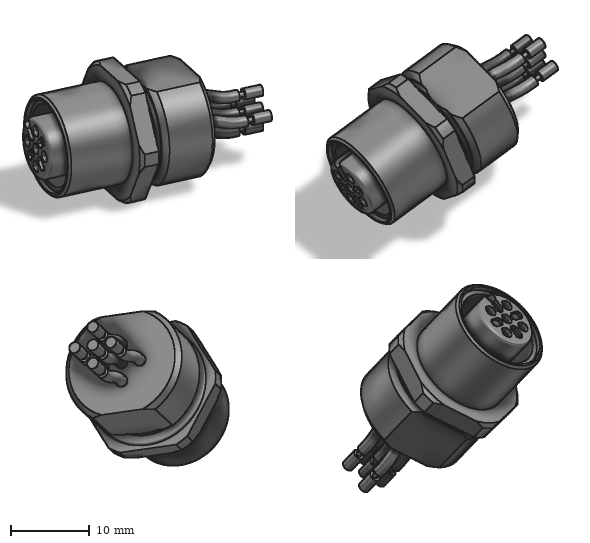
import cadquery as cq
import math


core_front = -13.0
barrel_front = -11.55
flange_front = -2.5
nut_front = 0.95
nut_rear = 9.0
overall_length = 32.15
wire_end = core_front + overall_length

barrel_diameter = 13.5
barrel_chamfer = 0.32
mouth_diameter = 12.3
mouth_depth = 0.68
socket_diameter = 11.0
socket_floor = flange_front
core_diameter = 8.25
core_fillet = 0.48

contact_pitch = 2.5
contact_hole_diameter = 1.5
contact_hole_depth = 2.57
contact_bore_diameter = 1.15
contact_bore_depth = 5.15
key_width = 1.5
key_angle = 135
key_bottom_radius = contact_pitch * math.sqrt(2)
pocket_angles = [45, 135, 225, 315]
pocket_width = 1.15
pocket_chamfer = 0.32
pocket_depth = 0.48
pocket_inner_radius = 1.15
pocket_outer_radius = 3.1

flange_across_flats = 17.0
flange_corner_diameter = 18.68
flange_chamfer = 0.48
collar_diameter = 16.0
collar_height = 0.3
collar_edge_radius = 0.25

nut_diameter = 15.98
nut_across_flats = 13.47
nut_chamfer = 0.68
nut_front_chamfer_length = 0.77
relief_diameter = 14.05
relief_length = 0.45

wire_diameter = 1.5
strand_diameter = 0.7
wire_root_length = 0.58
wire_bend_length = 5.53
wire_bend_drop = 1.2
wire_tail_length = 0.68
strand_length = 0.87

barrel_radius = barrel_diameter / 2
core_radius = core_diameter / 2
nut_radius = nut_diameter / 2


def cylinder(diameter, y_start, y_end, x=0.0, z=0.0):
    """Cylinder parallel to Y, from y_start to a larger y_end."""
    return cq.Workplane("XZ", origin=(x, y_start, z)).circle(diameter / 2).extrude(y_start - y_end)


def revolve_about_y(profile):
    """Turn a closed profile of (radius, y) around the Y axis."""
    return profile.close().revolve(360, (0, 0, 0), (0, 1, 0))


def make_body():
    """Barrel and core, joined by a socket floor shaped as a half-round sealing ring."""
    socket_radius = socket_diameter / 2
    ring_radius = (socket_radius - core_radius) / 2
    fillet_offset = core_fillet * math.sqrt(0.5)
    fillet_center = (core_radius - core_fillet, core_front + core_fillet)
    profile = (
        cq.Workplane("XY")
        .moveTo(0, core_front)
        .lineTo(core_radius - core_fillet, core_front)
        .threePointArc(
            (fillet_center[0] + fillet_offset, fillet_center[1] - fillet_offset),
            (core_radius, core_front + core_fillet),
        )
        .lineTo(core_radius, socket_floor)
        .threePointArc(
            (core_radius + ring_radius, socket_floor - ring_radius),
            (socket_radius, socket_floor),
        )
        .lineTo(socket_radius, barrel_front + mouth_depth)
        .lineTo(mouth_diameter / 2, barrel_front + mouth_depth)
        .lineTo(mouth_diameter / 2, barrel_front)
        .lineTo(barrel_radius - barrel_chamfer, barrel_front)
        .lineTo(barrel_radius, barrel_front + barrel_chamfer)
        .lineTo(barrel_radius, nut_front)
        .lineTo(0, nut_front)
    )
    return revolve_about_y(profile)


def make_flange():
    """Hexagon with trimmed corners, a conical front edge and a low rounded rear collar."""
    hexagon = (
        cq.Workplane("XZ")
        .polygon(6, flange_across_flats / math.cos(math.radians(30)))
        .extrude(-flange_front)
    )
    corner_trim = cylinder(flange_corner_diameter, flange_front, 0).faces("<Y").chamfer(flange_chamfer)
    collar = (
        cylinder(collar_diameter, flange_front, collar_height)
        .faces(">Y")
        .fillet(collar_edge_radius)
    )
    return hexagon.intersect(corner_trim).union(collar)


def make_nut():
    """Round nut, chamfered at both ends, with a conical relief in front and two flats."""
    relief_end = nut_front + relief_length
    profile = (
        cq.Workplane("XY")
        .moveTo(0, nut_front)
        .lineTo(barrel_radius, nut_front)
        .lineTo(relief_diameter / 2, relief_end)
        .lineTo(nut_radius - nut_chamfer, relief_end)
        .lineTo(nut_radius, relief_end + nut_front_chamfer_length)
        .lineTo(nut_radius, nut_rear - nut_chamfer)
        .lineTo(nut_radius - nut_chamfer, nut_rear)
        .lineTo(0, nut_rear)
    )
    slab = cq.Workplane("XY").box(nut_diameter, 2 * nut_rear, nut_across_flats)
    return revolve_about_y(profile).intersect(slab)


def make_contact_hole(x, z):
    """Stepped hole for one contact socket."""
    entry = cylinder(contact_hole_diameter, core_front, core_front + contact_hole_depth, x, z)
    bore = cylinder(contact_bore_diameter, core_front, core_front + contact_bore_depth, x, z)
    return entry.union(bore)


def make_pocket(angle):
    """Shallow radial pocket with chamfered corners; the one beside the keyway runs into it."""
    outer_radius = key_bottom_radius if angle == key_angle else pocket_outer_radius
    length = outer_radius - pocket_inner_radius
    return (
        cq.Workplane("XZ", origin=(0, core_front, 0))
        .center((pocket_inner_radius + outer_radius) / 2, 0)
        .rect(length, pocket_width)
        .extrude(-pocket_depth)
        .edges("|Y")
        .chamfer(pocket_chamfer)
        .rotate((0, 0, 0), (0, 1, 0), -angle)
    )


def make_key_slot():
    """Round-bottomed keyway along the outside of the core, kept clear of the sealing ring."""
    slot_length = 2 * (core_radius - key_bottom_radius) + key_width
    slot = (
        cq.Workplane("XZ", origin=(0, core_front, 0))
        .center(key_bottom_radius + (slot_length - key_width) / 2, 0)
        .slot2D(slot_length, key_width)
        .extrude(core_front - socket_floor)
        .rotate((0, 0, 0), (0, 1, 0), -key_angle)
    )
    return slot.intersect(cylinder(core_diameter, core_front, socket_floor))


def make_wire(x, z):
    """Insulated wire with an S-bend, a bare strand and an insulated end piece."""
    bend_start = nut_rear + wire_root_length
    bend_end = bend_start + wire_bend_length
    tail_end = bend_end + wire_tail_length
    strand_end = tail_end + strand_length
    end_z = z - wire_bend_drop

    bend_path = cq.Workplane("YZ", origin=(x, 0, 0)).spline(
        [(bend_start, z), (bend_end, end_z)],
        tangents=[(1, 0), (1, 0)],
    )
    bend = (
        cq.Workplane("XZ", origin=(x, bend_start, z))
        .circle(wire_diameter / 2)
        .sweep(bend_path)
    )
    return (
        cylinder(wire_diameter, nut_rear, bend_start, x, z)
        .union(bend)
        .union(cylinder(wire_diameter, bend_end, tail_end, x, end_z))
        .union(cylinder(strand_diameter, tail_end, strand_end, x, end_z))
        .union(cylinder(wire_diameter, strand_end, wire_end, x, end_z))
    )


contact_places = [
    (0, 0),
    (contact_pitch, 0),
    (-contact_pitch, 0),
    (0, contact_pitch),
    (0, -contact_pitch),
]

result = make_body().union(make_flange()).union(make_nut()).cut(make_key_slot())
for place_x, place_z in contact_places:
    result = result.cut(make_contact_hole(place_x, place_z))
    result = result.union(make_wire(place_x, place_z))
for pocket_angle in pocket_angles:
    result = result.cut(make_pocket(pocket_angle))